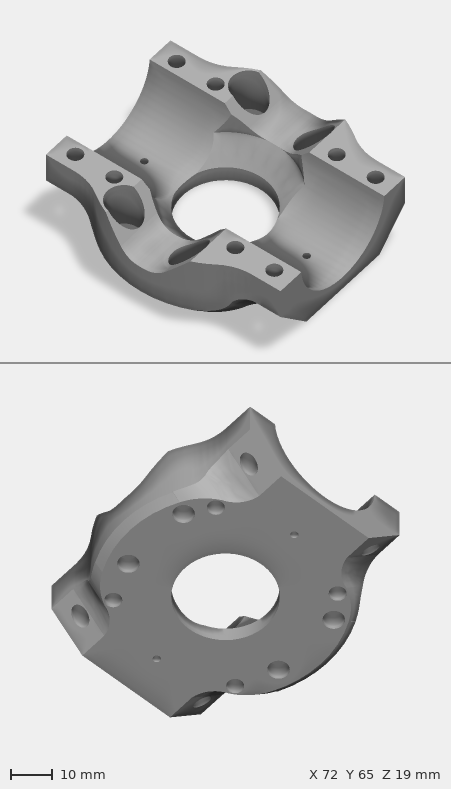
import cadquery as cq
import math

length = 72.0
width = 65.0
height = 19.0
flange_half_width = 24.0
blend_end_x = 27.2

relief_height = 9.9
relief_start_x = 28.1
relief_bend = (23.3, 16.5)
relief_inflection = (21.25, 19.9)
relief_shoulder = (18.5, 23.75)
boss_chamfer = 2.0
boss_bottom_half_length = 14.05

bore_radius = 16.0
bore_axis_rise = 0.9
opening_radius = 13.0
seat_radius = 19.0

saddle_depth = 8.5
saddle_top_half_width = 12.95
saddle_floor_half_width = 1.15
saddle_fillet = 8.0

flange_hole_diameter = 4.3
flange_hole_xs = (18.6, 30.5)
flange_hole_y = 19.5
boss_hole_diameter = 5.4
counterbore_diameter = 10.0
counterbore_floor = 5.5
boss_hole_xs = (-12.0, 8.0)
boss_hole_y = 24.05
drain_diameter = 2.0
drain_x = 24.9

half_length = length / 2
boss_radius = width / 2
saddle_floor = height - saddle_depth


def mirror_x(point):
    return (-point[0], point[1])


def plan_body():
    """Full-height body: straight flanges blended tangentially into round bosses."""
    turn = 2 * math.atan((boss_radius - flange_half_width) / blend_end_x)
    blend_radius = blend_end_x / math.sin(turn) - boss_radius
    blend_center_y = flange_half_width + blend_radius
    tangent = (boss_radius * math.sin(turn), boss_radius * math.cos(turn))
    blend_mid = (
        blend_end_x - blend_radius * math.sin(turn / 2),
        blend_center_y - blend_radius * math.cos(turn / 2),
    )
    half = (
        cq.Workplane("XY")
        .moveTo(-half_length, 0)
        .lineTo(-half_length, flange_half_width)
        .lineTo(-blend_end_x, flange_half_width)
        .threePointArc(mirror_x(blend_mid), mirror_x(tangent))
        .threePointArc((0, boss_radius), tangent)
        .threePointArc(blend_mid, (blend_end_x, flange_half_width))
        .lineTo(half_length, flange_half_width)
        .lineTo(half_length, 0)
        .close()
        .extrude(height)
    )
    return half.union(half.mirror("XZ"))


def boss_cone(bottom_radius):
    """Middle slice of a 45 degree cone that chamfers the bottom edge of the bosses."""
    cone = (
        cq.Workplane("XY")
        .circle(bottom_radius)
        .workplane(offset=height)
        .circle(bottom_radius + height)
        .loft()
    )
    slice_width = 2 * boss_bottom_half_length
    slab = cq.Workplane("XY").box(slice_width, 4 * boss_radius, height, centered=(True, True, False))
    return cone.intersect(slab)


def underside_envelope():
    """Space kept by the 45 degree underside relief."""
    bottom_radius = boss_radius - boss_chamfer
    bottom_y = flange_half_width - relief_height
    shoulder_end = (
        boss_bottom_half_length,
        math.sqrt(bottom_radius**2 - boss_bottom_half_length**2),
    )
    outline = (
        cq.Workplane("XY")
        .moveTo(-half_length, -height)
        .lineTo(-half_length, bottom_y)
        .lineTo(-relief_start_x, bottom_y)
        .threePointArc(mirror_x(relief_bend), mirror_x(relief_inflection))
        .threePointArc(mirror_x(relief_shoulder), mirror_x(shoulder_end))
        .lineTo(*shoulder_end)
        .threePointArc(relief_shoulder, relief_inflection)
        .threePointArc(relief_bend, (relief_start_x, bottom_y))
        .lineTo(half_length, bottom_y)
        .lineTo(half_length, -height)
        .close()
    )
    lean = cq.Vector(0, height, height)
    leaning = cq.Workplane(cq.Solid.extrudeLinear(outline.wire().val(), [], lean))
    half_space = cq.Workplane("XY").box(length, 4 * height, height, centered=(True, False, False))
    half = leaning.intersect(half_space)
    return half.union(half.mirror("XZ")).union(boss_cone(bottom_radius))


def bore():
    return (
        cq.Workplane("YZ", origin=(-half_length, 0, height + bore_axis_rise))
        .circle(bore_radius)
        .extrude(length)
    )


def opening():
    """Through hole, 45 degree seat and the cylinder above the seat."""
    seat_bottom = saddle_floor - (seat_radius - opening_radius)
    return (
        cq.Workplane("XZ")
        .lineTo(opening_radius, 0)
        .lineTo(opening_radius, seat_bottom)
        .lineTo(seat_radius, saddle_floor)
        .lineTo(seat_radius, height)
        .lineTo(0, height)
        .close()
        .revolve(360, (0, 0, 0), (0, 1, 0))
    )


def saddle():
    """Cross channel with 45 degree flanks rounded into a narrow flat floor."""
    angle = math.radians(45)
    flank_x = saddle_floor_half_width + saddle_fillet * math.sin(angle)
    flank_z = saddle_floor + saddle_fillet * (1 - math.cos(angle))
    mid_x = saddle_floor_half_width + saddle_fillet * math.sin(angle / 2)
    mid_z = saddle_floor + saddle_fillet * (1 - math.cos(angle / 2))
    return (
        cq.Workplane("XZ")
        .moveTo(-saddle_top_half_width, height)
        .lineTo(-flank_x, flank_z)
        .threePointArc((-mid_x, mid_z), (-saddle_floor_half_width, saddle_floor))
        .lineTo(saddle_floor_half_width, saddle_floor)
        .threePointArc((mid_x, mid_z), (flank_x, flank_z))
        .lineTo(saddle_top_half_width, height)
        .close()
        .extrude(boss_radius, both=True)
    )


def vertical_holes(points, diameter, bottom=0.0):
    return (
        cq.Workplane("XY", origin=(0, 0, bottom))
        .pushPoints(points)
        .circle(diameter / 2)
        .extrude(height - bottom)
    )


flange_points = [
    (side * x, end * flange_hole_y)
    for x in flange_hole_xs
    for side in (-1, 1)
    for end in (-1, 1)
]
boss_points = [(x, end * boss_hole_y) for x in boss_hole_xs for end in (-1, 1)]
drain_points = [(-drain_x, 0), (drain_x, 0)]

result = (
    plan_body()
    .intersect(underside_envelope())
    .cut(bore())
    .cut(opening())
    .cut(saddle())
    .cut(vertical_holes(flange_points, flange_hole_diameter))
    .cut(vertical_holes(boss_points, boss_hole_diameter))
    .cut(vertical_holes(boss_points, counterbore_diameter, counterbore_floor))
    .cut(vertical_holes(drain_points, drain_diameter))
)